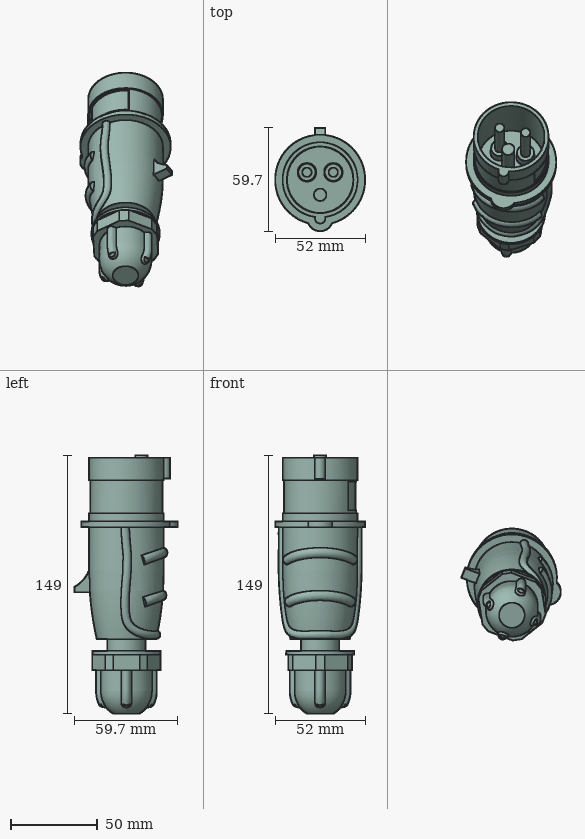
import cadquery as cq
import math


cap_top = 36.4
nut_top = 34.1
nut_bottom = 25.2
dome_center_height = 13.1
handle_bottom = 43.1
handle_taper_start = 82.6
flange_bottom = 107.6
flange_top = 110.9
collar_top = 115.7
rim_bottom = 134.6
rim_top = 147.5

rim_radius = 21.6
tube_radius = 20.9
flange_radius = 52.0 / 2
bore_mouth_radius = 19.2
bore_floor_radius = 19.1
key_radius = 3.0
key_offset = 22.2
key_bottom = 135.5
lobe_radius = 7.5
label_depth = 0.5
label_bottom = 117.3
label_top = 133.7
label_start_x = 16.2

earth_pin_radius = 3.6
earth_pin_y = -8.6
earth_pin_top = 149.0
live_pin_radius = 2.7
live_pin_x = 7.6
live_pin_y = 4.3
live_pin_top = 147.1
pin_collar_base_radius = 5.4
pin_collar_top_radius = 4.9
pin_collar_height = 6.0

handle_radius = 21.6
handle_end_radius = 17.1
grip_radius = 3.0
grip_sink = 0.9
grip_tilt = 20.0
upper_grip_height = 92.9
upper_grip_half_angle = 64.0
lower_grip_height = 68.3
lower_grip_half_angle = 61.0
strip_radius = 2.4
strip_front_height = 45.6
strip_side_points = [
    (0.7, flange_bottom),
    (-0.5, 91.8),
    (-0.3, 82.0),
    (0.7, 59.6),
    (-1.5, 51.3),
    (-7.2, 47.1),
]
strip_front_angles = (38.0, 20.0, 0.0)
thumb_width = 6.0
thumb_reach = 30.0
thumb_bottom = 70.0
thumb_lip_top = 73.2
thumb_curve_middle = (25.8, 76.3)

neck_radius = 22.2 / 2
washer_radius = 19.7
nut_across_flats = 36.8
nut_across_corners = 39.5
dome_radius = 15.0
rib_count = 4
rib_outer_radius = 17.6
rib_crown_radius = 2.4
rib_crown_half_width = 2.1
rib_base_half_width = 3.1
rib_base_radius = 14.5
rib_bend_angle = 27.5

taper_length = handle_taper_start - handle_bottom
taper_drop = handle_radius - handle_end_radius
taper_arc_radius = (taper_length**2 + taper_drop**2) / (2 * taper_drop)


def cylinder(radius, bottom, top, x=0.0, y=0.0):
    return cq.Workplane("XY", origin=(x, y, bottom)).circle(radius).extrude(top - bottom)


def handle_radius_at(height):
    """Outer radius of the handle at a given height."""
    below = max(0.0, handle_taper_start - height)
    return handle_radius - taper_arc_radius + math.sqrt(taper_arc_radius**2 - below**2)


def label_recess():
    """Shallow curved recess on the +X side of the tube."""
    ring = cylinder(rim_radius, label_bottom, label_top).cut(
        cylinder(tube_radius - label_depth, label_bottom, label_top)
    )
    side = cq.Workplane("XY").box(
        rim_radius, 2 * rim_radius, rim_top, centered=(False, True, False)
    )
    return ring.intersect(side.translate((label_start_x, 0, 0)))


def polarising_key():
    """Round-nosed key on the -Y side of the rim."""
    key = cylinder(key_radius, key_bottom, rim_top, y=-key_offset)
    root_length = key_offset - bore_mouth_radius
    root = cq.Workplane("XY").box(
        2 * key_radius, root_length, rim_top - key_bottom, centered=(True, False, False)
    )
    return key.union(root.translate((0, -key_offset, key_bottom)))


def pin_collar(x):
    """Tapered sleeve standing on the bore floor around a live pin."""
    return (
        cq.Workplane("XY", origin=(x, live_pin_y, flange_top))
        .circle(pin_collar_base_radius)
        .workplane(offset=pin_collar_height)
        .circle(pin_collar_top_radius)
        .loft(ruled=True)
    )


def make_shroud():
    """Keyed cup with its flange and the two collars that the live pins stand in."""
    body = cylinder(flange_radius, flange_bottom, flange_top)
    body = body.union(cylinder(lobe_radius, flange_bottom, flange_top, y=-key_offset))
    body = body.union(cylinder(rim_radius, flange_top, collar_top))
    body = body.union(cylinder(tube_radius, collar_top, rim_bottom))
    body = body.union(cylinder(rim_radius, rim_bottom, rim_top))
    bore = (
        cq.Workplane("XY", origin=(0, 0, flange_top))
        .circle(bore_floor_radius)
        .workplane(offset=rim_top - flange_top)
        .circle(bore_mouth_radius)
        .loft(ruled=True)
    )
    body = body.union(polarising_key()).cut(label_recess()).cut(bore)
    for x in (-live_pin_x, live_pin_x):
        body = body.union(pin_collar(x))
        body = body.cut(cylinder(live_pin_radius, flange_top, rim_top, x, live_pin_y))
    return body


def make_pin(radius, top, x, y):
    return cylinder(radius, flange_top, top, x, y)


def grip_ridge(front_height, half_angle):
    """Round bar wrapped around the front of the handle in a plane that dips towards the back."""
    path_radius = handle_radius_at(front_height) - grip_sink
    tilt = math.radians(grip_tilt)

    def path_point(angle_deg):
        angle = math.radians(angle_deg)
        x = path_radius * math.sin(angle)
        y = -path_radius * math.cos(angle)
        return cq.Vector(x, y, front_height - (path_radius + y) * math.tan(tilt))

    half_steps = 3
    angles = [half_angle * step / half_steps for step in range(-half_steps, half_steps + 1)]
    path = cq.Edge.makeSpline([path_point(angle) for angle in angles])
    start = cq.Plane(origin=path.startPoint(), normal=path.tangentAt(0))
    return cq.Workplane(start).circle(grip_radius).sweep(cq.Wire.assembleEdges([path]))


def grip_strip():
    """Round strip down the -X side of the handle, across its front and up the +X side."""
    points = []
    for y, z in strip_side_points:
        points.append(cq.Vector(-math.sqrt(handle_radius_at(z) ** 2 - y**2), y, z))
    for angle_deg in strip_front_angles:
        angle = math.radians(angle_deg)
        x = -handle_end_radius * math.sin(angle)
        y = -handle_end_radius * math.cos(angle)
        points.append(cq.Vector(x, y, strip_front_height))
    path = cq.Edge.makeSpline(points, tangents=[cq.Vector(0, 0, -1), cq.Vector(1, 0, 0)])
    half = (
        cq.Workplane("XY", origin=points[0].toTuple())
        .circle(strip_radius)
        .sweep(cq.Wire.assembleEdges([path]))
    )
    return half.union(half.mirror("YZ"))


def thumb_rest():
    """Hooked tab on the back of the handle with a concave upper face."""
    return (
        cq.Workplane("YZ", origin=(-thumb_width / 2, 0, 0))
        .moveTo(handle_end_radius, thumb_bottom)
        .lineTo(thumb_reach, thumb_bottom)
        .lineTo(thumb_reach, thumb_lip_top)
        .threePointArc(thumb_curve_middle, (handle_radius, handle_taper_start))
        .lineTo(handle_end_radius, handle_taper_start)
        .close()
        .extrude(thumb_width)
    )


def make_handle():
    mid_height = (handle_bottom + handle_taper_start) / 2
    body = (
        cq.Workplane("XZ")
        .moveTo(0, handle_bottom)
        .lineTo(handle_end_radius, handle_bottom)
        .threePointArc((handle_radius_at(mid_height), mid_height), (handle_radius, handle_taper_start))
        .lineTo(handle_radius, flange_bottom)
        .lineTo(0, flange_bottom)
        .close()
        .revolve(360, (0, 0, 0), (0, 1, 0))
    )
    body = body.union(thumb_rest()).union(grip_strip())
    body = body.union(grip_ridge(upper_grip_height, upper_grip_half_angle))
    body = body.union(grip_ridge(lower_grip_height, lower_grip_half_angle))
    return body


def hexagon(across_flats, turn):
    """Hexagonal prism of the gland nut, turned about its axis by an angle in degrees."""
    across_corners = across_flats / math.cos(math.radians(30))
    prism = cq.Workplane("XY", origin=(0, 0, nut_bottom)).polygon(6, across_corners)
    return prism.extrude(nut_top - nut_bottom).rotate((0, 0, 0), (0, 0, 1), turn)


def cap_rib():
    """Rib on the -Y side of the cap: straight, then bent around the dome, with a rounded end."""
    crown_center = rib_outer_radius - rib_crown_radius
    shoulder = crown_center + math.sqrt(rib_crown_radius**2 - rib_crown_half_width**2)

    def section():
        return (
            cq.Workplane("XY", origin=(0, 0, dome_center_height))
            .moveTo(-rib_base_half_width, -rib_base_radius)
            .lineTo(-rib_crown_half_width, -shoulder)
            .threePointArc((0, -rib_outer_radius), (rib_crown_half_width, -shoulder))
            .lineTo(rib_base_half_width, -rib_base_radius)
            .close()
        )

    pivot = (0, 0, dome_center_height)
    straight = section().extrude(nut_bottom - dome_center_height)
    bend = section().revolve(rib_bend_angle, (0, 0, 0), (1, 0, 0))
    end = (
        cq.Workplane("XY", origin=pivot)
        .moveTo(0, -rib_base_radius)
        .lineTo(0, -rib_outer_radius)
        .lineTo(rib_crown_half_width, -shoulder)
        .lineTo(rib_base_half_width, -rib_base_radius)
        .close()
        .revolve(360, (0, 0, 0), (0, 1, 0))
    )
    end = end.rotate(pivot, (1, 0, dome_center_height), rib_bend_angle)
    return straight.union(bend).union(end)


def make_cap():
    """Gland cap: washer, hexagon with trimmed corners, and a ribbed dome with a flat end."""
    dome = cylinder(dome_radius, 0, nut_bottom)
    ball = cq.Workplane("XY", origin=(0, 0, dome_center_height)).sphere(dome_radius)
    dome = dome.intersect(ball.union(cylinder(dome_radius, dome_center_height, nut_bottom)))
    nut = hexagon(nut_across_flats, 30).intersect(hexagon(nut_across_corners, 0))
    body = cylinder(washer_radius, nut_top, cap_top).union(nut).union(dome)
    for index in range(rib_count):
        body = body.union(cap_rib().rotate((0, 0, 0), (0, 0, 1), index * 360 / rib_count))
    return body


shroud = make_shroud()
earth_pin = make_pin(earth_pin_radius, earth_pin_top, 0, earth_pin_y)
live_pins = [make_pin(live_pin_radius, live_pin_top, x, live_pin_y) for x in (-live_pin_x, live_pin_x)]
handle = make_handle()
neck = cylinder(neck_radius, cap_top, handle_bottom)
cap = make_cap()

bodies = [shroud, earth_pin, *live_pins, handle, neck, cap]
result = cq.Compound.makeCompound([body.solids().val() for body in bodies])